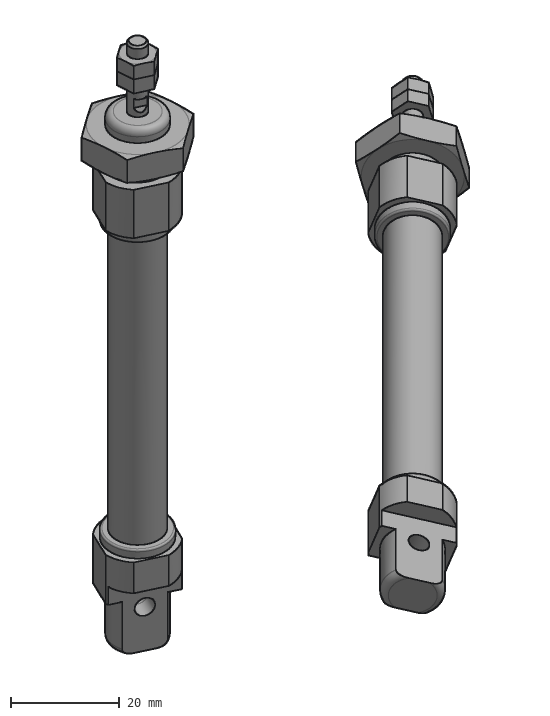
import cadquery as cq
import math

total_length = 136.0
rod_exposed = 16.0
neck_top = total_length - rod_exposed
neck_length = 12.0
front_cap_top = neck_top - neck_length
front_cap_block_length = 11.0
rear_cap_block_bottom = 16.3
rear_cap_block_length = 7.0
rear_cap_block_top = rear_cap_block_bottom + rear_cap_block_length
collar_length = 2.0
front_collar_bottom = front_cap_top - front_cap_block_length - collar_length
rear_collar_top = rear_cap_block_top + collar_length

barrel_diameter = 11.0
neck_diameter = 12.0
neck_round = 1.5
cap_diameter = 16.5
cap_across_flats = 15.0
collar_diameter = 14.0
collar_edge_round = 0.4
tang_thickness = 8.0
tang_shoulder_height = 12.2
tang_hole_diameter = 4.0
tang_hole_height = 10.0

rod_diameter = 4.0
rod_tip_diameter = 3.24
rod_tip_chamfer = (rod_diameter - rod_tip_diameter) / 2
rod_tip_chamfer_height = 0.5
rod_bottom = front_collar_bottom
rod_across_flats = 3.0
rod_flat_top = total_length - 12.0
rod_flat_bottom = rod_flat_top - 2.0
rod_flat_runout = 1.0

mounting_nut_across_flats = 19.0
mounting_nut_thickness = 6.0
mounting_nut_bottom = neck_top - 9.0
rod_nut_across_flats = 7.0
rod_nut_thickness = 3.2
rod_nut_count = 2
rod_nuts_bottom = total_length - 9.2
nut_chamfer_angle = 15.0


def cylinder(diameter, bottom, top):
    return cq.Workplane("XY").workplane(offset=bottom).circle(diameter / 2).extrude(top - bottom)


def cap_block(bottom, top):
    """Round cap milled with four flats."""
    height = top - bottom
    square = (
        cq.Workplane("XY")
        .workplane(offset=bottom)
        .rect(cap_across_flats, cap_across_flats)
        .extrude(height)
    )
    return cylinder(cap_diameter, bottom, top).intersect(square)


def make_housing():
    neck = cylinder(neck_diameter, front_cap_top, neck_top).faces(">Z").edges().fillet(neck_round)
    front_block = cap_block(front_cap_top - front_cap_block_length, front_cap_top)
    front_collar = (
        cylinder(collar_diameter, front_collar_bottom, front_collar_bottom + collar_length)
        .faces("<Z").edges().fillet(collar_edge_round)
    )
    barrel = cylinder(barrel_diameter, rear_collar_top, front_collar_bottom)
    rear_collar = (
        cylinder(collar_diameter, rear_cap_block_top, rear_collar_top)
        .faces(">Z").edges().fillet(collar_edge_round)
    )
    rear_block = cap_block(rear_cap_block_bottom, rear_cap_block_top)
    housing = neck.union(front_block).union(front_collar).union(barrel)
    housing = housing.union(rear_collar).union(rear_block).union(make_tang())
    return housing.cut(cylinder(rod_diameter, rod_bottom, neck_top))


def make_tang():
    """Flat rear tang: a stepped round stub, cut to thickness and drilled across."""
    stub = cylinder(neck_diameter, 0, tang_shoulder_height).faces("<Z").edges().fillet(neck_round)
    stub = stub.union(cap_block(tang_shoulder_height, rear_cap_block_bottom))
    slab = (
        cq.Workplane("XY")
        .rect(tang_thickness, cap_diameter)
        .extrude(rear_cap_block_bottom)
    )
    hole = (
        cq.Workplane("YZ")
        .center(0, tang_hole_height)
        .circle(tang_hole_diameter / 2)
        .extrude(tang_thickness, both=True)
    )
    return stub.intersect(slab).cut(hole)


def make_rod():
    rod = (
        cylinder(rod_diameter, rod_bottom, total_length)
        .faces(">Z").edges().chamfer(rod_tip_chamfer_height, rod_tip_chamfer)
    )
    rod_radius = rod_diameter / 2
    flat_distance = rod_across_flats / 2
    notch = (
        cq.Workplane("XZ")
        .moveTo(flat_distance, rod_flat_top)
        .lineTo(rod_radius, rod_flat_top)
        .lineTo(rod_radius, rod_flat_bottom - rod_flat_runout)
        .lineTo(flat_distance, rod_flat_bottom)
        .close()
        .extrude(rod_diameter, both=True)
    )
    return rod.cut(notch).cut(notch.mirror("YZ"))


def make_nut(across_flats, bore, bottom, thickness, chamfer_top, chamfer_bottom):
    """Hexagon nut with corners at +Y and -Y, coned off at the chosen end faces."""
    corner_radius = across_flats / math.sqrt(3)
    flat_radius = across_flats / 2
    cone_drop = (corner_radius - flat_radius) * math.tan(math.radians(nut_chamfer_angle))
    top = bottom + thickness
    hexagon = (
        cq.Workplane("XY")
        .workplane(offset=bottom)
        .polygon(6, 2 * corner_radius)
        .extrude(thickness)
        .rotate((0, 0, 0), (0, 0, 1), 90)
    )
    profile = cq.Workplane("XZ").moveTo(0, bottom)
    if chamfer_bottom:
        profile = profile.lineTo(flat_radius, bottom).lineTo(corner_radius, bottom + cone_drop)
    else:
        profile = profile.lineTo(corner_radius, bottom)
    if chamfer_top:
        profile = profile.lineTo(corner_radius, top - cone_drop).lineTo(flat_radius, top)
    else:
        profile = profile.lineTo(corner_radius, top)
    envelope = profile.lineTo(0, top).close().revolve(360, (0, 0, 0), (0, 1, 0))
    return hexagon.intersect(envelope).cut(cylinder(bore, bottom, top))


housing = make_housing()
rod = make_rod()
mounting_nut = make_nut(
    mounting_nut_across_flats, neck_diameter, mounting_nut_bottom, mounting_nut_thickness, True, True
)
rod_nuts = []
for index in range(rod_nut_count):
    nut_bottom = rod_nuts_bottom + index * rod_nut_thickness
    is_top_nut = index == rod_nut_count - 1
    nut = make_nut(rod_nut_across_flats, rod_diameter, nut_bottom, rod_nut_thickness, is_top_nut, False)
    rod_nuts.append(nut.val())

result = cq.Compound.makeCompound([housing.val(), rod.val(), mounting_nut.val(), *rod_nuts])